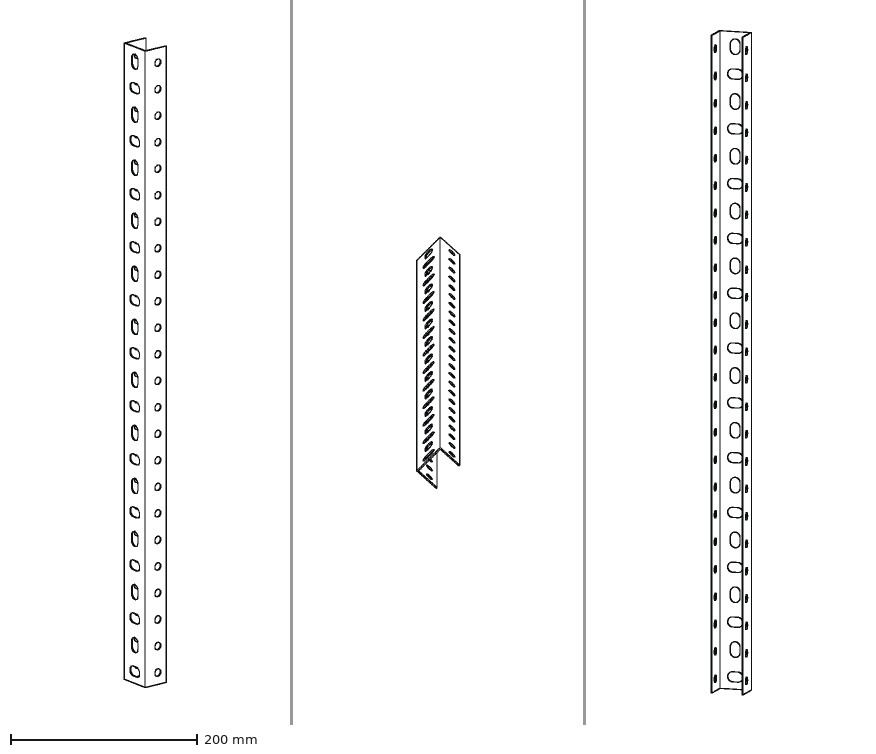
import cadquery as cq

width = 36.64
depth = 29.0
length = 720.0
wall = 1.5

pitch = 30.0
hole_count = int(length / pitch)
first_hole_z = 13.5

slot_length = 17.0
slot_width = 11.0
lying_angle = 0
upright_angle = 90

flange_hole_diameter = 8.2
flange_hole_to_free_edge = 11.5
flange_hole_y = depth - flange_hole_to_free_edge

clearance = 1.0


def make_channel():
    """U-shaped bar: web outside face on Y = 0, flanges pointing to +Y, square corners."""
    block = cq.Workplane("XY").rect(width, depth).extrude(length)
    cavity = (
        cq.Workplane("XY")
        .center(0, wall)
        .rect(width - 2 * wall, depth)
        .extrude(length)
    )
    return block.cut(cavity).translate((0, depth / 2, 0))


def web_slots(heights, angle):
    """Round-ended cutters through the web, turned by the angle from the X axis."""
    return (
        cq.Workplane("XZ", origin=(0, wall + clearance, 0))
        .pushPoints([(0, z) for z in heights])
        .slot2D(slot_length, slot_width, angle)
        .extrude(wall + 2 * clearance)
    )


def flange_holes(heights):
    """Round cutters running across both flanges."""
    return (
        cq.Workplane("YZ", origin=(-width / 2 - clearance, 0, 0))
        .pushPoints([(flange_hole_y, z) for z in heights])
        .circle(flange_hole_diameter / 2)
        .extrude(width + 2 * clearance)
    )


hole_heights = [first_hole_z + i * pitch for i in range(hole_count)]

result = (
    make_channel()
    .cut(web_slots(hole_heights[0::2], lying_angle))
    .cut(web_slots(hole_heights[1::2], upright_angle))
    .cut(flange_holes(hole_heights))
)